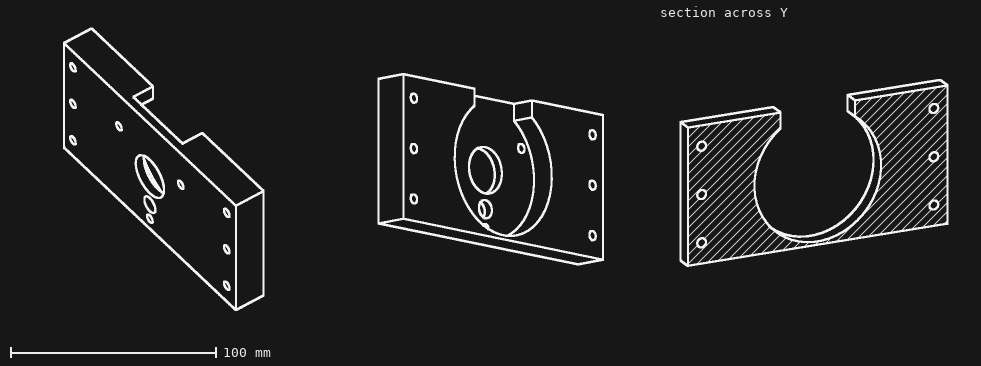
import cadquery as cq
import math

length = 140.0
thickness = 17.0
height = 72.0

floor_thickness = 4.9
recess_radius = 34.0
channel_width = 40.0

center_hole_diameter = 23.0
offset_hole_diameter = 9.0
offset_hole_drop = 19.3
screw_diameter = 4.5
motor_screw_radius = 29.0
motor_screw_angles = (30, 150, 270)
side_screw_x = 62.6
side_screw_pitch = 25.0


def through_holes(points, diameter):
    """Cylinders along Y that cross the whole plate at the given (x, z) points."""
    return cq.Workplane("XZ").pushPoints(points).circle(diameter / 2).extrude(-thickness)


def back_recess():
    """Circular recess joined to a straight channel that leaves through the top."""
    recess_depth = thickness - floor_thickness
    floor = cq.Workplane("XZ", origin=(0, floor_thickness, 0))
    round_part = floor.circle(recess_radius).extrude(-recess_depth)
    channel = (
        floor.center(0, height / 4)
        .rect(channel_width, height / 2)
        .extrude(-recess_depth)
    )
    return round_part.union(channel)


motor_screws = [
    (
        motor_screw_radius * math.cos(math.radians(angle)),
        motor_screw_radius * math.sin(math.radians(angle)),
    )
    for angle in motor_screw_angles
]
side_screws = [
    (side * side_screw_x, row * side_screw_pitch)
    for side in (-1, 1)
    for row in (-1, 0, 1)
]

plate = cq.Workplane("XY").box(length, thickness, height, centered=(True, False, True))

result = (
    plate.cut(back_recess())
    .cut(through_holes([(0, 0)], center_hole_diameter))
    .cut(through_holes([(0, -offset_hole_drop)], offset_hole_diameter))
    .cut(through_holes(motor_screws + side_screws, screw_diameter))
)